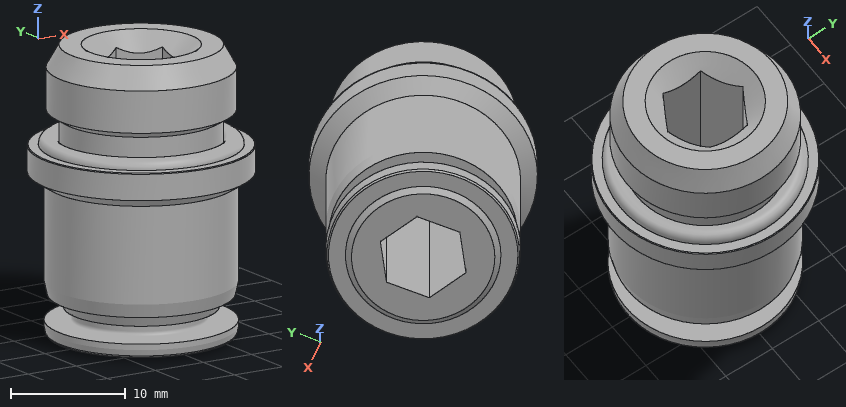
import cadquery as cq
import math

height = 26.5
head_cone_bottom = 24.49
head_bottom = 20.67
neck_top = 20.0
flange_top = 17.5
flange_cone_top = 15.03
body_top = 14.12
body_taper_top = 5.22
body_bottom = 4.0
collar_bottom = 2.84
groove_fillet_top = 2.12
disc_top = 1.67
disc_taper_top = 1.1
disc_chamfer_top = 0.58
disc_bottom = 0.4

head_radius = 16.67 / 2
neck_radius = 14.4 / 2
flange_radius = 19.95 / 2
body_radius = 17.0 / 2
body_end_radius = 8.25
collar_end_radius = 6.8
groove_radius = 12.0 / 2
disc_chamfer_radius = 8.4
disc_end_radius = 8.27
foot_radius = 6.78
foot_end_radius = 6.25
flange_chamfer = 0.08

ring_section_radius = 0.9

socket_across_flats = 7.0
socket_mouth_radius = 10.5 / 2
socket_cone_slope = 45.0


def turned_body():
    """Revolve the outer profile, including the upper half of the seal ring."""
    ring_center = neck_radius + ring_section_radius
    groove_fillet = groove_fillet_top - disc_top
    fillet_offset = groove_fillet * (1 - math.sqrt(0.5))
    profile = (
        cq.Workplane("XZ")
        .moveTo(0, 0)
        .lineTo(foot_end_radius, 0)
        .lineTo(foot_radius, disc_bottom)
        .lineTo(disc_end_radius, disc_bottom)
        .lineTo(disc_chamfer_radius, disc_chamfer_top)
        .lineTo(body_radius, disc_taper_top)
        .lineTo(body_radius, disc_top)
        .lineTo(groove_radius + groove_fillet, disc_top)
        .threePointArc(
            (groove_radius + fillet_offset, disc_top + fillet_offset),
            (groove_radius, groove_fillet_top),
        )
        .lineTo(groove_radius, collar_bottom)
        .lineTo(collar_end_radius, collar_bottom)
        .lineTo(neck_radius, body_bottom)
        .lineTo(body_end_radius, body_bottom)
        .lineTo(body_radius, body_taper_top)
        .lineTo(body_radius, body_top)
        .lineTo(flange_radius, flange_cone_top)
        .lineTo(flange_radius, flange_top - flange_chamfer)
        .lineTo(flange_radius - flange_chamfer, flange_top)
        .lineTo(ring_center + ring_section_radius, flange_top)
        .threePointArc(
            (ring_center, flange_top + ring_section_radius),
            (neck_radius, flange_top),
        )
        .lineTo(neck_radius, neck_top)
        .lineTo(head_radius, head_bottom)
        .lineTo(head_radius, head_cone_bottom)
        .lineTo(neck_radius, height)
        .lineTo(0, height)
        .close()
    )
    return profile.revolve(360, (0, 0, 0), (0, 1, 0))


def hex_socket():
    """Through hexagon with two of its corners on the Y axis."""
    across_corners = socket_across_flats / math.cos(math.radians(30))
    hexagon = cq.Workplane("XY").polygon(6, across_corners).extrude(height)
    return hexagon.rotate((0, 0, 0), (0, 0, 1), 30)


def socket_countersink():
    """Cone that opens the socket at the top face."""
    cone_depth = socket_mouth_radius * math.tan(math.radians(socket_cone_slope))
    profile = (
        cq.Workplane("XZ")
        .moveTo(0, height - cone_depth)
        .lineTo(socket_mouth_radius, height)
        .lineTo(0, height)
        .close()
    )
    return profile.revolve(360, (0, 0, 0), (0, 1, 0))


result = turned_body().cut(hex_socket()).cut(socket_countersink())